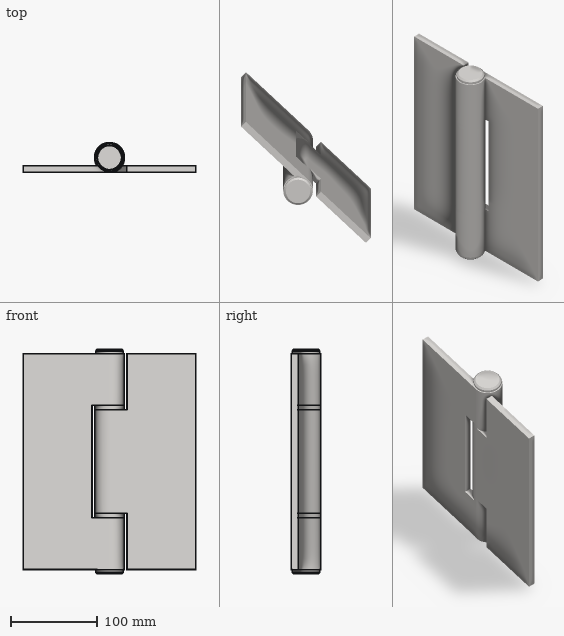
import cadquery as cq

hinge_width = 200.0
hinge_height = 250.0
leaf_thickness = 8.0
half_width = hinge_width / 2

barrel_diameter = 34.5
barrel_radius = barrel_diameter / 2
washer_thickness = 5.0
outer_knuckle_length = 60.0
middle_knuckle_length = hinge_height - 2 * (outer_knuckle_length + washer_thickness)
washer_offset = (middle_knuckle_length + washer_thickness) / 2
outer_knuckle_offset = (hinge_height - outer_knuckle_length) / 2

relief_distance = 20.0

pin_radius = barrel_radius - leaf_thickness
head_radius = 16.0
head_height = 5.0
head_chamfer = 2.0


def cylinder_on_axis(radius, length, mid_z=0.0):
    """Cylinder about the hinge axis, centred at height mid_z."""
    return cq.Workplane("XY", origin=(0, 0, mid_z - length / 2)).circle(radius).extrude(length)


def plate(side, inner_x, length, mid_z=0.0):
    """Flat leaf stretch from inner_x to the outer edge, flush with the front of the barrel."""
    width = half_width - inner_x
    mid_x = side * (inner_x + half_width) / 2
    mid_y = -barrel_radius + leaf_thickness / 2
    return cq.Workplane("XY").box(width, leaf_thickness, length).translate((mid_x, mid_y, mid_z))


def leaf(side, knuckles):
    """Leaf on one side (-1 left, +1 right) with bored knuckles given as (length, mid_z)."""
    body = plate(side, relief_distance, hinge_height)
    for length, mid_z in knuckles:
        body = body.union(plate(side, 0, length, mid_z))
        body = body.union(cylinder_on_axis(barrel_radius, length, mid_z))
    return body.cut(cylinder_on_axis(pin_radius, hinge_height))


def washer(mid_z):
    """Spacer ring between neighbouring knuckles."""
    ring = cylinder_on_axis(barrel_radius, washer_thickness, mid_z)
    return ring.cut(cylinder_on_axis(pin_radius, washer_thickness, mid_z))


def head(end):
    """Chamfered pin head at the bottom (-1) or the top (+1)."""
    disc = cylinder_on_axis(head_radius, head_height, end * (hinge_height + head_height) / 2)
    outer_face = ">Z" if end > 0 else "<Z"
    return disc.faces(outer_face).edges().chamfer(head_chamfer)


ends = (-1, 1)

left_leaf = leaf(-1, [(outer_knuckle_length, end * outer_knuckle_offset) for end in ends])
right_leaf = leaf(1, [(middle_knuckle_length, 0.0)])
washers = [washer(end * washer_offset) for end in ends]

pin = cylinder_on_axis(pin_radius, hinge_height)
for end in ends:
    pin = pin.union(head(end))

result = cq.Compound.makeCompound(
    [left_leaf.val(), right_leaf.val(), pin.val(), *[ring.val() for ring in washers]]
)